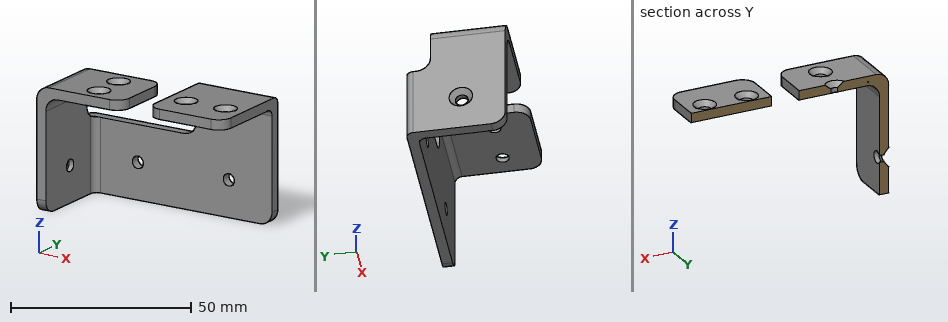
import cadquery as cq

length = 61.5
depth = 28.0
height = 37.0
thickness = 3.0

corner_radius = 4.0
left_bend_radius = 4.0
back_bend_radius = 2.0

left_flange_length = 28.0
left_flange_width = 21.1
right_flange_length = 25.0

notch_depth = 15.0
notch_floor = height - notch_depth
right_flange_start = length - right_flange_length

hole_diameter = 3.6
sink_diameter = 6.6
sink_angle = 90.0
wall_hole_height = 11.0
back_hole_spacing = 30.0
left_flange_hole_x = 17.0
left_flange_hole_spacing = 10.0
right_flange_hole_spacing = 13.0
flange_hole_middle_y = left_flange_width / 2


def bent_sheet(plane, leg_x, leg_y, bend_radius, run):
    """L section with its outer corner at the plane origin, legs along local +x and +y, extruded by run."""
    section = (
        cq.Workplane(plane)
        .polyline([
            (0, 0),
            (leg_x, 0),
            (leg_x, thickness),
            (thickness, thickness),
            (thickness, leg_y),
            (0, leg_y),
        ])
        .close()
        .extrude(run)
    )
    bend_points = [(0, 0), (thickness, thickness)]
    for x, y in bend_points:
        middle = plane.toWorldCoords((x, y, run / 2))
        section = section.edges(cq.selectors.NearestToPointSelector(middle.toTuple())).fillet(bend_radius)
    return section


def block(x_range, y_range, z_range):
    """Axis-aligned box between the given limits."""
    corner = (x_range[0], y_range[0], z_range[0])
    return cq.Workplane("XY").box(
        x_range[1] - x_range[0],
        y_range[1] - y_range[0],
        z_range[1] - z_range[0],
        centered=False,
    ).translate(corner)


def make_walls():
    """Left wall and back plate, ending below the left flange bend."""
    wall_height = height - left_bend_radius
    plane = cq.Plane(origin=(0, depth, wall_height), xDir=(1, 0, 0), normal=(0, 0, -1))
    return bent_sheet(plane, length, depth, back_bend_radius, wall_height)


def make_left_flange():
    """Left wall strip bent over into the left flange, with rounded free corners."""
    plane = cq.Plane(origin=(0, 0, height), xDir=(1, 0, 0), normal=(0, 1, 0))
    sheet = bent_sheet(plane, left_flange_length, height, left_bend_radius, left_flange_width)
    return sheet.faces(">X").edges("|Z").fillet(corner_radius)


def make_right_flange():
    """Back plate strip bent over into the right flange, with rounded free corners."""
    plane = cq.Plane(origin=(right_flange_start, depth, height), xDir=(0, -1, 0), normal=(1, 0, 0))
    sheet = bent_sheet(plane, depth, height, back_bend_radius, right_flange_length)
    return sheet.faces("<Y").edges("|Z").fillet(corner_radius)


def make_back_notch():
    """Cutter for the back plate, from the left wall to the right flange."""
    cutter = block((thickness, right_flange_start), (depth - thickness, depth), (notch_floor, height))
    return cutter.edges(">X and <Z").fillet(corner_radius)


def make_side_notch():
    """Cutter for the left wall and its inside bend, between the left flange and the back plate."""
    cutter = block((0, thickness + back_bend_radius), (left_flange_width, depth), (notch_floor, height))
    return cutter.edges("<Y and <Z").fillet(corner_radius)


def round_bottom_corners(body):
    """Round the free bottom corners of the back plate and the left wall."""
    back_corner = cq.selectors.NearestToPointSelector((length, depth - thickness / 2, 0))
    left_corner = cq.selectors.NearestToPointSelector((thickness / 2, 0, 0))
    body = body.edges("|Y").edges(back_corner).fillet(corner_radius)
    return body.edges("|X").edges(left_corner).fillet(corner_radius)


def drill_back_plate(body):
    """Two plain holes, centred between the inside of the left wall and the right end."""
    middle_x = (thickness + length) / 2
    for side in (-1, 1):
        center = cq.Vector(middle_x + side * back_hole_spacing / 2, depth, wall_hole_height)
        drill = cq.Solid.makeCylinder(hole_diameter / 2, thickness, center, cq.Vector(0, -1, 0))
        body = body.cut(cq.Workplane(drill))
    return body


def drill_countersunk(body, plane, points):
    """Countersunk holes entering along the negative normal of the plane, at local points."""
    for x, y in points:
        body = (
            cq.Workplane(plane)
            .add(body)
            .pushPoints([(x, y)])
            .cskHole(hole_diameter, sink_diameter, sink_angle, depth=thickness)
        )
    return body


def drill_left_wall(body):
    """One countersunk hole, centred between the front edge and the inside of the back plate."""
    middle_y = (depth - thickness) / 2
    plane = cq.Plane(origin=(0, middle_y, wall_hole_height), xDir=(0, -1, 0), normal=(-1, 0, 0))
    return drill_countersunk(body, plane, [(0, 0)])


def drill_flanges(body):
    """Two countersunk holes in each flange, entering from the top."""
    middle_x = right_flange_start + right_flange_length / 2
    points = []
    for side in (-1, 1):
        points.append((left_flange_hole_x, flange_hole_middle_y + side * left_flange_hole_spacing / 2))
        points.append((middle_x + side * right_flange_hole_spacing / 2, flange_hole_middle_y))
    plane = cq.Plane(origin=(0, 0, height), xDir=(1, 0, 0), normal=(0, 0, 1))
    return drill_countersunk(body, plane, points)


bracket = make_walls().union(make_left_flange()).union(make_right_flange())
bracket = bracket.cut(make_back_notch()).cut(make_side_notch()).clean()
bracket = round_bottom_corners(bracket)
bracket = drill_back_plate(bracket)
bracket = drill_left_wall(bracket)
result = drill_flanges(bracket)